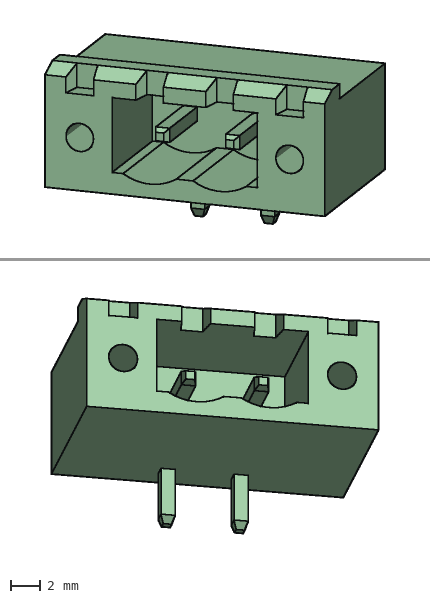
import cadquery as cq


pitch = 5.08
pole_count = 2
flange_offset = (pole_count + 1) / 2 * pitch
width = (pole_count + 2) * pitch
depth = 12.0
height = 8.6
rear_height = 7.55
lip_depth = 3.0
bevel_depth = 1.5
bevel_drop = 0.6

socket_width = 10.55
socket_depth = 8.0
socket_floor = 1.55
socket_top = 6.87
groove_bottom = 1.0
groove_chord = 3.86

notch_front_width = 2.0
notch_back_width = 1.5

axis_height = 3.8
insert_diameter = 4.0
insert_bore = 2.0
insert_depth = socket_depth

pin_size = 1.0
tip_size = 0.6
tip_length = 0.6
pin_front = 2.0
tail_y = 10.0
tail_length = 4.0

pole_positions = [(i - (pole_count - 1) / 2) * pitch for i in range(pole_count)]
flange_positions = [-flange_offset, flange_offset]


def front_plane():
    """Mating face with local axes X and Z; a negative extrusion goes into the housing."""
    return cq.Workplane("XZ")


def make_housing():
    profile = [
        (0, 0),
        (depth, 0),
        (depth, rear_height),
        (lip_depth, rear_height),
        (lip_depth, height),
        (bevel_depth, height),
        (0, height - bevel_drop),
    ]
    return cq.Workplane("YZ").polyline(profile).close().extrude(width / 2, both=True)


def make_socket():
    half_width = socket_width / 2
    outline = front_plane().moveTo(-half_width, socket_top).lineTo(-half_width, socket_floor)
    for x in pole_positions:
        outline = outline.lineTo(x - groove_chord / 2, socket_floor)
        outline = outline.threePointArc((x, groove_bottom), (x + groove_chord / 2, socket_floor))
    outline = outline.lineTo(half_width, socket_floor).lineTo(half_width, socket_top).close()
    return outline.extrude(-socket_depth)


def make_notch(x):
    corners = [
        (x - notch_front_width / 2, 0),
        (x + notch_front_width / 2, 0),
        (x + notch_back_width / 2, bevel_depth),
        (x - notch_back_width / 2, bevel_depth),
    ]
    base = cq.Workplane("XY", origin=(0, 0, socket_top))
    return base.polyline(corners).close().extrude(height - socket_top)


def make_insert_seat(x):
    return front_plane().center(x, axis_height).circle(insert_diameter / 2).extrude(-insert_depth)


def make_insert(x):
    section = front_plane().center(x, axis_height)
    return section.circle(insert_diameter / 2).circle(insert_bore / 2).extrude(-insert_depth)


def make_bar(start, direction, length):
    """Square bar from a tapered tip at start, running along direction."""
    plane = cq.Plane(origin=start, xDir=(1, 0, 0), normal=direction)
    tip = cq.Workplane(plane).rect(tip_size, tip_size).workplane(offset=tip_length)
    tip = tip.rect(pin_size, pin_size).loft()
    shank = cq.Workplane(plane).workplane(offset=tip_length).rect(pin_size, pin_size)
    return tip.union(shank.extrude(length - tip_length))


def make_pin(x):
    contact = make_bar((x, pin_front, axis_height), (0, 1, 0), tail_y + pin_size / 2 - pin_front)
    tail = make_bar((x, tail_y, -tail_length), (0, 0, 1), tail_length + axis_height + pin_size / 2)
    return contact.union(tail)


result = make_housing().cut(make_socket())
for notch_x in pole_positions + flange_positions:
    result = result.cut(make_notch(notch_x))
for pole_x in pole_positions:
    result = result.union(make_pin(pole_x))
for flange_x in flange_positions:
    result = result.cut(make_insert_seat(flange_x))

for flange_x in flange_positions:
    result = result.union(make_insert(flange_x), clean=False)